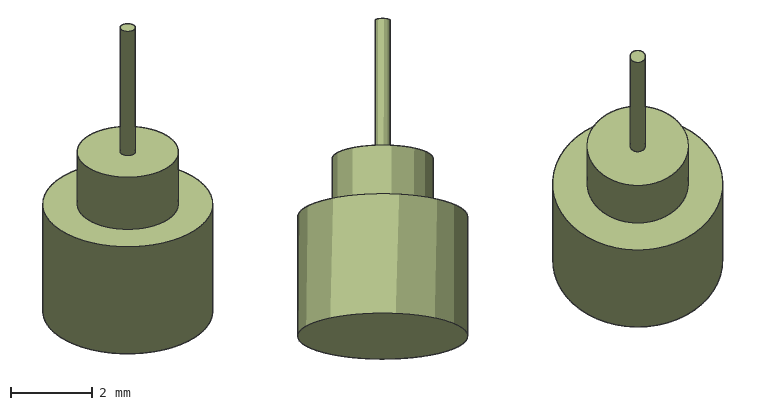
import cadquery as cq

total_height = 8.1

base_diameter = 4.2
base_height = 3.06

collar_diameter = 2.5
collar_height = 1.49

pin_diameter = 0.38
pin_height = total_height - base_height - collar_height


def add_cylinder(body, diameter, height):
    """Stack a centred cylinder on the top face of the body."""
    return body.faces(">Z").workplane().circle(diameter / 2).extrude(height)


base = cq.Workplane("XY").circle(base_diameter / 2).extrude(base_height)
base_and_collar = add_cylinder(base, collar_diameter, collar_height)
result = add_cylinder(base_and_collar, pin_diameter, pin_height)